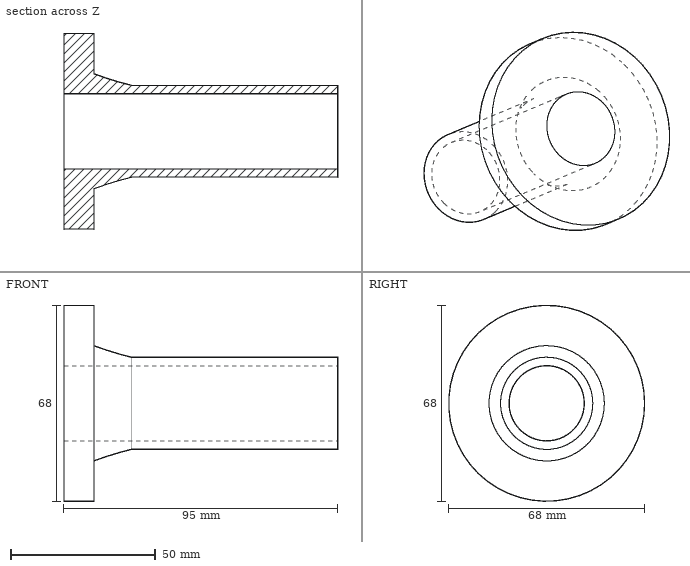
import cadquery as cq

total_length = 95.0
flange_diameter = 68.0
flange_thickness = 10.5
tube_diameter = 32.0
bore_diameter = 26.0

neck_length = 13.0
neck_root_diameter = 40.0
neck_hollow = 0.2

flange_radius = flange_diameter / 2
tube_radius = tube_diameter / 2
bore_radius = bore_diameter / 2
neck_root_radius = neck_root_diameter / 2
neck_end = flange_thickness + neck_length


def make_body():
    """Flange, neck and tube as one revolved half profile, still solid inside."""
    return (
        cq.Workplane("XY")
        .lineTo(0, flange_radius)
        .lineTo(flange_thickness, flange_radius)
        .lineTo(flange_thickness, neck_root_radius)
        .sagittaArc((neck_end, tube_radius), -neck_hollow)
        .lineTo(total_length, tube_radius)
        .lineTo(total_length, 0)
        .close()
        .revolve(360, (0, 0, 0), (1, 0, 0))
    )


def make_bore():
    """Plain bore running the full length of the part."""
    return cq.Workplane("YZ").circle(bore_radius).extrude(total_length)


result = make_body().cut(make_bore())